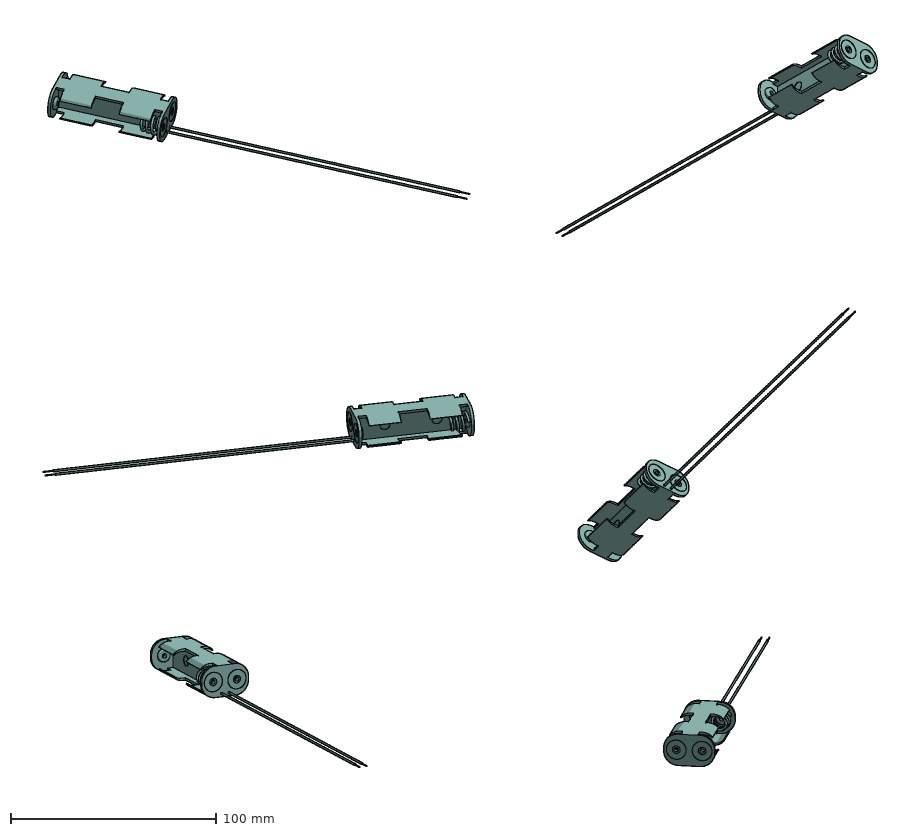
import cadquery as cq
import math


overall_length = 212.7
holder_length = 57.9
holder_width = 25.3
holder_height = 16.0
corner_radius = 7.2
shell_thickness = 1.3
cavity_width = 24.9
end_plate_thickness = 1.5
web_thickness = 2.1

clip_length = 16.2
clip_spacing = 30.6
clip_tip_angle = 42.0
bridge_width = 8.3

cell_offset = 6.4
terminal_recess_radius = 4.9
terminal_recess_depth = 0.2
rivet_shank_radius = 2.0
rivet_bore_radius = 1.0
rivet_head_radius = 3.2
rivet_head_height = 1.5
rivet_head_round = 0.6

pad_radius = 2.5
pad_depth = 0.2
pad_spacing = 26.2

spring_wire_radius = 0.6
spring_base_radius = 4.5
spring_tip_radius = 3.5
spring_length = 10.2
spring_turns = 3.2

lead_radius = 0.53
lead_offset = 1.95
bare_tip_radius = 0.28
bare_tip_length = 5.0

middle_x = holder_length / 2
corner_y = holder_width / 2 - corner_radius
corner_z = holder_height / 2 - corner_radius
inner_height = holder_height - 2 * shell_thickness
lead_z = lead_radius - inner_height / 2


def rounded_bar(width, height, radius, x_start, length):
    """Bar along X with a rounded rectangular section."""
    bar = cq.Workplane("YZ", origin=(x_start, 0, 0)).rect(width, height).extrude(length)
    return bar.edges("|X").fillet(radius)


def half_turn(body):
    """Copy of a body on the opposite end and opposite side of the holder."""
    return body.rotate((middle_x, 0, 0), (middle_x, 0, 1), 180)


def shell():
    """Rounded tube between the end plates, open along both sides."""
    outer = rounded_bar(holder_width, holder_height, corner_radius, 0, holder_length)
    inner = rounded_bar(
        cavity_width,
        inner_height,
        corner_radius - shell_thickness,
        0,
        holder_length,
    )
    tube = outer.cut(inner)

    reach = holder_width
    far_y = corner_y + reach * math.cos(math.radians(clip_tip_angle))
    far_z = corner_z + reach * math.sin(math.radians(clip_tip_angle))
    opening = (
        cq.Workplane("YZ")
        .polyline([(corner_y, corner_z), (far_y, far_z), (far_y, -far_z), (corner_y, -corner_z)])
        .close()
        .extrude(holder_length)
    )
    return tube.cut(opening).cut(half_turn(opening))


def clipped_shell():
    """Shell cut back to a narrow bridge everywhere except at the clips."""
    bridge = cq.Workplane("XY").box(holder_length, bridge_width, holder_height)
    clips = (
        cq.Workplane("XY")
        .rarray(clip_spacing, 2.1, 2, 1)
        .box(clip_length, holder_width, holder_height)
    )
    kept = bridge.union(clips).translate((middle_x, 0, 0))
    return shell().intersect(kept)


def web():
    """Wall between the two cells, with a shallow round pad at each polarity mark."""
    wall = cq.Workplane("XY").box(holder_length, web_thickness, holder_height)
    for face in ("<Y", ">Y"):
        wall = (
            wall.faces(face)
            .workplane(centerOption="CenterOfBoundBox")
            .rarray(pad_spacing, 2.1, 2, 1)
            .circle(pad_radius)
            .cutBlind(-pad_depth)
        )
    return wall.translate((middle_x, 0, 0))


def end_plate():
    """End plate at X = 0 with a recess and a rivet hole on each cell axis."""
    plate = rounded_bar(holder_width, holder_height, corner_radius, 0, end_plate_thickness)
    axes = [(-cell_offset, 0), (cell_offset, 0)]
    recesses = (
        cq.Workplane("YZ").pushPoints(axes).circle(terminal_recess_radius).extrude(terminal_recess_depth)
    )
    holes = cq.Workplane("YZ").pushPoints(axes).circle(rivet_shank_radius).extrude(end_plate_thickness)
    return plate.cut(recesses).cut(holes)


def make_housing():
    plate = end_plate()
    return clipped_shell().union(web()).union(plate).union(half_turn(plate))


def make_rivet(y):
    """Tubular rivet through the first end plate, with its rounded head inside the holder."""
    shank = (
        cq.Workplane("YZ", origin=(terminal_recess_depth, y, 0))
        .circle(rivet_shank_radius)
        .extrude(end_plate_thickness - terminal_recess_depth)
    )
    head = (
        cq.Workplane("YZ", origin=(end_plate_thickness, y, 0))
        .circle(rivet_head_radius)
        .extrude(rivet_head_height)
        .faces(">X")
        .edges()
        .fillet(rivet_head_round)
    )
    bore = (
        cq.Workplane("YZ", origin=(0, y, 0))
        .circle(rivet_bore_radius)
        .extrude(end_plate_thickness + rivet_head_height)
    )
    return shank.union(head).cut(bore)


def make_spring():
    """Conical coil spring that stands on the first end plate around the +Y rivet."""
    rise = spring_length - 2 * spring_wire_radius
    cone_angle = math.degrees(math.atan((spring_base_radius - spring_tip_radius) / rise))
    path = cq.Wire.makeHelix(
        rise / spring_turns, rise, spring_tip_radius, angle=cone_angle
    )
    coil = (
        cq.Workplane("XZ", origin=(spring_tip_radius, 0, 0))
        .circle(spring_wire_radius)
        .sweep(cq.Workplane(obj=path), isFrenet=True)
    )
    tip_x = end_plate_thickness + spring_length - spring_wire_radius
    return coil.rotate((0, 0, 0), (0, 1, 0), -90).translate((tip_x, cell_offset, 0))


def make_lead(y):
    """Insulated lead from the second end plate, ending in a thin bare tip."""
    tip_x = overall_length - bare_tip_length
    insulation = (
        cq.Workplane("YZ", origin=(holder_length, y, lead_z))
        .circle(lead_radius)
        .extrude(tip_x - holder_length)
    )
    tip = (
        cq.Workplane("YZ", origin=(tip_x, y, lead_z))
        .circle(bare_tip_radius)
        .extrude(bare_tip_length)
    )
    return insulation.union(tip)


housing = make_housing()
rivets = []
leads = []
for side in (-1, 1):
    rivet = make_rivet(side * cell_offset)
    rivets += [rivet, half_turn(rivet)]
    leads.append(make_lead(side * lead_offset))

spring = make_spring()
springs = [spring, half_turn(spring)]

bodies = [housing, *rivets, *springs, *leads]
result = cq.Compound.makeCompound([body.solids().val() for body in bodies])